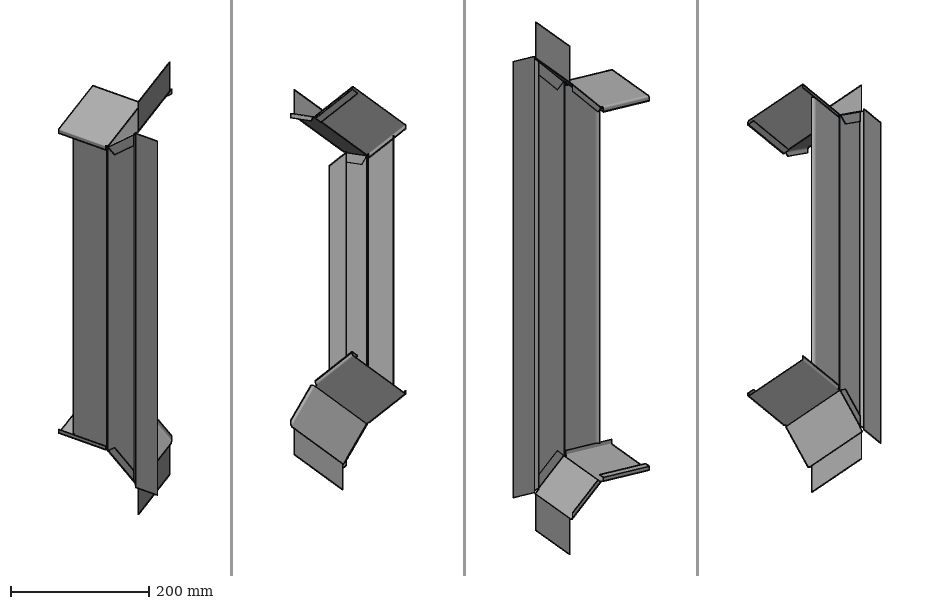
import cadquery as cq
import math

FULL_HEIGHT = 808.0
RIGHT_X = 82.0
LEFT_X = -82.0
BACK_Y = 56.0
FRONT_Y = -56.0

SHEET = 1.0
MITRE = math.tan(math.radians(45 / 2))
DIAGONAL = math.sqrt(0.5)

TAB_X = 47.0
RAMP_TOP_Z = 347.0
SHELF_Z = 298.0
RAMP_START_X = TAB_X - (RAMP_TOP_Z - SHELF_Z)
RAMP_LENGTH = (RAMP_TOP_Z - SHELF_Z) / DIAGONAL
RAMP_ANGLE = 45.0
BRACKET_FRONT_Y = -52.5
TAB_FRONT_Y = -49.0
TAB_BACK_Y = 48.0
TAB_CUT_REACH = 2 * SHEET
FRONT_BEND_RADIUS = 2.0
BACK_BEND_RADIUS = 3.0
LIP_DEPTH = 8.0
RAMP_FRONT_LIP_DEPTH = 16.0
RETURN_WIDTH = 11.0
LIP_CORNER_GAP = 3.0

PANEL_LEFT_X = -60.0
CURL_RADIUS = 6.5
CURL_ANGLE = 45.0
CURL_END_LENGTH = 2.5
JOG_START_X = 41.0
FLANGE_LEFT_X = 46.0
STEP_END_X = RAMP_START_X
STEP_WIDTH = 2.0
STEP_START_X = STEP_END_X - STEP_WIDTH
RECESSED_Y = BRACKET_FRONT_Y + SHEET


def bracket_strip():
    """The bent strip (shelf, ramp, tab) between the lip bends."""
    outline = [
        (LEFT_X, SHELF_Z),
        (RAMP_START_X, SHELF_Z),
        (TAB_X, RAMP_TOP_Z),
        (TAB_X, FULL_HEIGHT / 2),
        (TAB_X + SHEET, FULL_HEIGHT / 2),
        (TAB_X + SHEET, RAMP_TOP_Z - SHEET * MITRE),
        (RAMP_START_X + SHEET * MITRE, SHELF_Z - SHEET),
        (LEFT_X, SHELF_Z - SHEET),
    ]
    front = BRACKET_FRONT_Y + FRONT_BEND_RADIUS
    back = BACK_Y - BACK_BEND_RADIUS
    strip = cq.Workplane("XZ", origin=(0, back, 0)).polyline(outline).close().extrude(back - front)
    tab_height = FULL_HEIGHT / 2 - RAMP_TOP_Z
    for inner_y, outer_y in ((TAB_FRONT_Y, front), (TAB_BACK_Y, back)):
        width = abs(outer_y - inner_y)
        shoulder = cq.Workplane("XY").box(
            2 * TAB_CUT_REACH, width, tab_height, centered=(True, True, False)
        )
        strip = strip.cut(shoulder.translate((TAB_X, (inner_y + outer_y) / 2, RAMP_TOP_Z)))
    return strip


def lip(start_x, length, angle, side, depth, return_width=0.0):
    """A lip rolled inward along the shelf or ramp; side is +1 at the back and -1 at the front."""
    radius = BACK_BEND_RADIUS if side > 0 else FRONT_BEND_RADIUS
    edge_y = BACK_Y if side > 0 else BRACKET_FRONT_Y
    tilt = math.radians(angle)
    plane = cq.Plane(
        origin=(start_x, edge_y - side * radius, SHELF_Z),
        xDir=(0, side, 0),
        normal=(math.cos(tilt), 0, math.sin(tilt)),
    )
    inward = -side
    inner = radius - SHEET
    profile = (
        cq.Workplane(plane)
        .threePointArc(
            (radius * DIAGONAL, inward * radius * (1 - DIAGONAL)),
            (radius, inward * radius),
        )
        .lineTo(radius, inward * depth)
    )
    if return_width:
        profile = (
            profile.lineTo(radius - return_width, inward * depth)
            .lineTo(radius - return_width, inward * (depth - SHEET))
            .lineTo(inner, inward * (depth - SHEET))
        )
    else:
        profile = profile.lineTo(inner, inward * depth)
    profile = (
        profile.lineTo(inner, inward * radius)
        .threePointArc(
            (inner * DIAGONAL, inward * (radius - inner * DIAGONAL)),
            (0, inward * SHEET),
        )
        .close()
    )
    return profile.extrude(length)


def space_right_of(x):
    trim = cq.Workplane("XY").box(
        RIGHT_X, 2 * (BACK_Y - FRONT_Y), FULL_HEIGHT, centered=(False, True, True)
    )
    return trim.translate((x, 0, 0))


def upper_bracket():
    shelf_lip_length = RAMP_START_X - LIP_CORNER_GAP - LEFT_X
    shelf_front = lip(LEFT_X, shelf_lip_length, 0, -1, LIP_DEPTH)
    shelf_back = lip(LEFT_X, shelf_lip_length, 0, 1, LIP_DEPTH, RETURN_WIDTH)
    ramp_back = lip(RAMP_START_X, RAMP_LENGTH, RAMP_ANGLE, 1, LIP_DEPTH)
    ramp_front = lip(RAMP_START_X, RAMP_LENGTH, RAMP_ANGLE, -1, RAMP_FRONT_LIP_DEPTH)
    ramp_front = ramp_front.cut(space_right_of(JOG_START_X))
    ramp_back = ramp_back.cut(space_right_of(TAB_X))
    bracket = bracket_strip()
    for bent_lip in (shelf_front, shelf_back, ramp_back, ramp_front):
        bracket = bracket.union(bent_lip)
    return bracket


def panel_section():
    """The folded sheet seen along Z, from the flange at +X to the curled edge at -X."""
    full_turn = math.radians(CURL_ANGLE)
    half_turn = full_turn / 2
    end_run = CURL_END_LENGTH * DIAGONAL
    centre_x = PANEL_LEFT_X + CURL_RADIUS * DIAGONAL + end_run
    centre_y = BRACKET_FRONT_Y + CURL_RADIUS
    inner = CURL_RADIUS - SHEET

    def on_curl(radius, angle):
        return (centre_x - radius * math.sin(angle), centre_y - radius * math.cos(angle))

    def curl_end(radius):
        x, y = on_curl(radius, full_turn)
        return (x - end_run, y + end_run)

    front_face = [
        (RIGHT_X, FRONT_Y),
        (FLANGE_LEFT_X, FRONT_Y),
        (JOG_START_X, RECESSED_Y),
        (STEP_END_X, RECESSED_Y),
        (STEP_START_X, BRACKET_FRONT_Y),
        (centre_x, BRACKET_FRONT_Y),
    ]
    back_face = [(x, y + SHEET) for x, y in reversed(front_face)]
    return (
        cq.Workplane("XY")
        .polyline(front_face)
        .threePointArc(on_curl(CURL_RADIUS, half_turn), on_curl(CURL_RADIUS, full_turn))
        .lineTo(*curl_end(CURL_RADIUS))
        .lineTo(*curl_end(inner))
        .lineTo(*on_curl(inner, full_turn))
        .threePointArc(on_curl(inner, half_turn), back_face[0])
        .polyline(back_face[1:], includeCurrent=True)
        .close()
    )


def front_panel():
    half_left = SHELF_Z - LIP_DEPTH
    ramp_clearance = FRONT_BEND_RADIUS * math.sqrt(2)
    upper_edge = [
        (PANEL_LEFT_X, half_left),
        (STEP_START_X, half_left),
        (STEP_START_X, SHELF_Z - ramp_clearance),
        (STEP_END_X, SHELF_Z - ramp_clearance),
        (FLANGE_LEFT_X, SHELF_Z - ramp_clearance + FLANGE_LEFT_X - STEP_END_X),
        (FLANGE_LEFT_X, RAMP_TOP_Z),
        (RIGHT_X, RAMP_TOP_Z),
    ]
    lower_edge = [(x, -z) for x, z in reversed(upper_edge)]
    outline = (
        cq.Workplane("XZ", origin=(0, BACK_Y, 0))
        .polyline(upper_edge + lower_edge)
        .close()
        .extrude(BACK_Y - FRONT_Y)
    )
    sheet = panel_section().extrude(RAMP_TOP_Z, both=True)
    return sheet.intersect(outline)


panel = front_panel()
top_bracket = upper_bracket()
brackets = []
for flipped in (False, True):
    bracket = top_bracket.mirror("XY") if flipped else top_bracket
    brackets.append(bracket.val())

result = cq.Compound.makeCompound([panel.val(), *brackets])